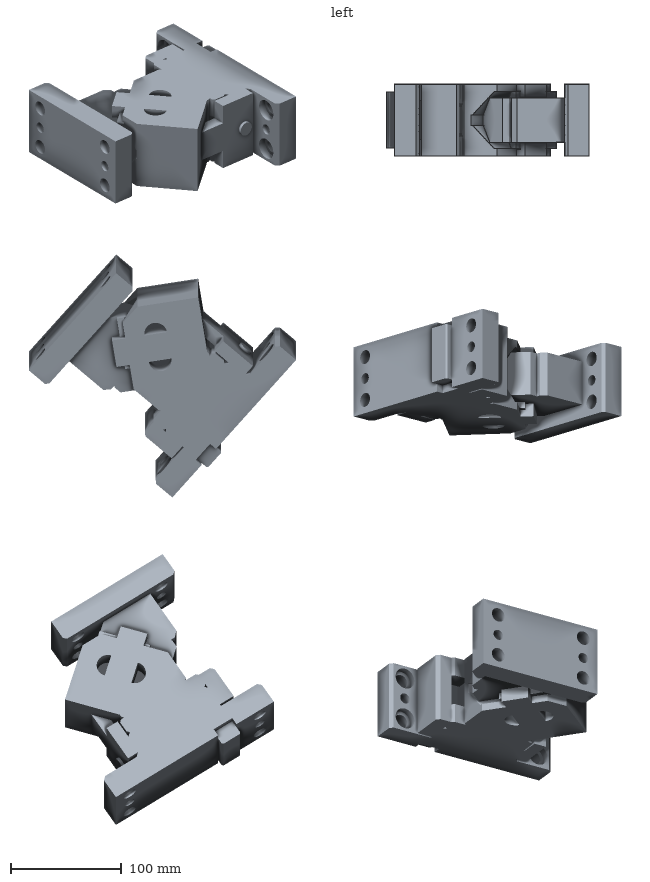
import cadquery as cq
import math


width = 65.0
half_width = width / 2
holder_length = 170.0
total_height = 182.5
bolt_offset_z = 20.0
dowel_diameter = 9.9

ramp_angle = math.radians(50)
ramp_x = 64.5
ramp_y = 62.0
along_x, along_y = math.cos(ramp_angle), -math.sin(ramp_angle)
out_x, out_y = math.sin(ramp_angle), math.cos(ramp_angle)

wing_half = 25.7
post_half = 20.0
ridge_half = 4.7
wing_height = 6.5
ridge_height = 19.2
flank_slope = (wing_half - ridge_half) / (ridge_height - wing_height)
relief_height = 20.0

base_start_x = 4.7
base_length = 120.0
base_thickness = 21.9
base_chamfer = 2.7
base_bolt_diameter = 13.3
base_hole_x = 20.5
base_hole_spacing = 89.6
post_left_x = 32.5
post_chamfer = 5.0
shelf_y = 69.7
step_x = 40.9
undercut_width = 1.0
undercut_height = 1.5
head_start = -27.4
wing_start = -5.0
head_end = 42.7

slide_left_x = 53.5
slide_right_x = 123.0
slide_top_y = 114.5
slide_bottom_y = 34.9
slide_chamfer = 1.8
slide_face = 5.0
slide_back = 75.7
slide_end = 52.5
groove_start = -73.0
keeper_length = 25.0
keeper_depth = 7.1
keeper_gap = 0.5
pocket_out = 32.7
pocket_radius = 10.2
pocket_depth = 18.2
tongue_half = 12.6
tongue_inset = 4.2

key_length = 19.9
key_start_x = 40.2
key_half = 25.4
key_height = 14.2
key_chamfer = 1.3
keyway_depth = key_height / 2
plate_back_y = total_height - key_height + keyway_depth
plate_front_y = 152.8
plate_chamfer = 3.1
clamp_left_x = 27.2
clamp_back_y = 151.0
clamp_front_y = 116.5
clamp_chamfer = 3.1
block_left_x = 42.2
block_right_x = 126.8
block_chamfer = slide_top_y - clamp_front_y
stop_left_x = 128.3
stop_right_x = 140.2
stop_back_y = 149.6
stop_relief_x = 129.4
stop_relief_end_x = 133.0
corner_relief_y = 129.2
corner_relief = 2.2
slot_end_y = 132.0
recess_half = 17.7
recess_height = 1.5
recess_depth = 1.8
slot_half = 14.5
plate_bolt_diameter = 13.0
counterbore_diameter = 19.7
counterbore_depth = 7.1
plate_hole_x = 15.0
screw_y = 139.6
screw_diameter = 13.1
screw_height = 2.7


def ramp(along, out):
    """XY point at a place given in the ramp frame."""
    return (
        ramp_x + along * along_x + out * out_x,
        ramp_y + along * along_y + out * out_y,
    )


def ramp_at_x(out, x):
    """XY point at a given X on a line parallel to the ramp."""
    start_x, _ = ramp(0, out)
    return ramp((x - start_x) / along_x, out)


def ramp_at_y(out, y):
    """XY point at a given Y on a line parallel to the ramp."""
    _, start_y = ramp(0, out)
    return ramp((y - start_y) / along_y, out)


def end_at_x(along, x):
    """XY point at a given X on a line square to the ramp."""
    start_x, _ = ramp(along, 0)
    return ramp(along, (x - start_x) / out_x)


def end_at_y(along, y):
    """XY point at a given Y on a line square to the ramp."""
    _, start_y = ramp(along, 0)
    return ramp(along, (y - start_y) / out_y)


def slab(points, half):
    """Outline in XY, extruded to both sides of the middle."""
    return cq.Workplane("XY").polyline(points).close().extrude(half, both=True)


def box(x0, x1, y0, y1, half):
    """Rectangular block, centred in Z."""
    return slab([(x0, y0), (x1, y0), (x1, y1), (x0, y1)], half)


def ramp_prism(half_profile, start, end):
    """Symmetric (out, z) profile, swept along the ramp from start to end."""
    plane = cq.Plane(
        origin=(*ramp(start, 0), 0),
        xDir=(out_x, out_y, 0),
        normal=(along_x, along_y, 0),
    )
    mirrored = [(out, -z) for out, z in reversed(half_profile)]
    return cq.Workplane(plane).polyline(half_profile + mirrored).close().extrude(end - start)


def holes_along_y(places, diameter, start_y, depth):
    """Round cutters at (x, z) places, running from start_y toward +Y."""
    plane = cq.Plane(origin=(0, start_y, 0), xDir=(1, 0, 0), normal=(0, 1, 0))
    local_places = [(x, -z) for x, z in places]
    return cq.Workplane(plane).pushPoints(local_places).circle(diameter / 2).extrude(depth)


def hole_places(first_x, last_x):
    """Bolt places and dowel places, for a row of three holes at each end of a plate."""
    bolts = [(x, z) for x in (first_x, last_x) for z in (-bolt_offset_z, bolt_offset_z)]
    dowels = [(first_x, 0), (last_x, 0)]
    return bolts, dowels


def make_base_plate():
    end_x = base_start_x + base_length
    plate = slab(
        [
            (base_start_x, 0),
            (end_x, 0),
            (end_x, base_thickness - base_chamfer),
            (end_x - base_chamfer, base_thickness),
            (base_start_x + base_chamfer, base_thickness),
            (base_start_x, base_thickness - base_chamfer),
        ],
        half_width,
    )
    bolts, dowels = hole_places(base_hole_x, base_hole_x + base_hole_spacing)
    plate = plate.cut(holes_along_y(bolts, base_bolt_diameter, 0, base_thickness))
    return plate.cut(holes_along_y(dowels, dowel_diameter, 0, base_thickness))


def make_post():
    return slab(
        [
            (post_left_x, base_thickness),
            (post_left_x, shelf_y - post_chamfer),
            (post_left_x + post_chamfer, shelf_y),
            (step_x + undercut_width, shelf_y),
            (step_x, shelf_y + undercut_height),
            end_at_x(head_start, step_x),
            ramp(head_start, 0),
            ramp(head_end, 0),
            end_at_y(head_end, base_thickness),
        ],
        post_half,
    )


def head_profile(half):
    """V head cut off at a given half width."""
    flank_start = wing_height + (wing_half - half) / flank_slope
    return [(0, half), (flank_start, half), (ridge_height, ridge_half)]


def make_driver():
    upper_head = ramp_prism(head_profile(post_half), head_start, head_end)
    winged_head = ramp_prism(head_profile(wing_half), wing_start, head_end)
    return make_base_plate().union(make_post()).union(upper_head).union(winged_head)


def make_slide_block():
    return slab(
        [
            ramp_at_x(slide_face, slide_left_x),
            (slide_left_x, slide_top_y - slide_chamfer),
            (slide_left_x + slide_chamfer, slide_top_y),
            (slide_right_x - slide_chamfer, slide_top_y),
            (slide_right_x, slide_top_y - slide_chamfer),
            ramp_at_x(slide_back, slide_right_x),
            ramp(slide_end, slide_back),
            end_at_y(slide_end, slide_bottom_y),
            ramp_at_y(slide_face, slide_bottom_y),
        ],
        half_width,
    )


def make_keepers():
    """Two hooks, one on each side, reaching under the wings of the driver."""
    bar = ramp_prism([(-keeper_depth, half_width), (slide_face, half_width)], 0, keeper_length)
    wing_room = ramp_prism(
        [(0, wing_half + keeper_gap), (slide_face, wing_half + keeper_gap)], 0, keeper_length
    )
    post_room = ramp_prism(
        [(-keeper_depth, post_half + keeper_gap), (0, post_half + keeper_gap)], 0, keeper_length
    )
    return bar.cut(wing_room).cut(post_room)


def make_groove():
    """V groove that takes the driver head, running through the slide."""
    profile = [
        (0, wing_half),
        (wing_height, wing_half),
        (ridge_height, ridge_half),
        (relief_height, ridge_half),
    ]
    return ramp_prism(profile, groove_start, slide_end)


def make_half_round_pocket(along, direction, side):
    """Half-round pocket in one side face, with its flat square to the ramp."""
    return (
        cq.Workplane("XY", origin=(0, 0, side * half_width))
        .moveTo(*ramp(along, pocket_out - pocket_radius))
        .threePointArc(
            ramp(along + direction * pocket_radius, pocket_out),
            ramp(along, pocket_out + pocket_radius),
        )
        .close()
        .extrude(-side * pocket_depth)
    )


def make_slide():
    tongue = box(
        slide_left_x + tongue_inset,
        slide_right_x - tongue_inset,
        slide_top_y,
        slot_end_y,
        tongue_half,
    )
    body = make_slide_block().cut(make_groove()).union(make_keepers()).union(tongue)
    for side in (-1, 1):
        body = body.cut(make_half_round_pocket(0, -1, side))
        body = body.cut(make_half_round_pocket(keeper_length, 1, side))
    return body


def make_holder_block():
    return slab(
        [
            (0, plate_back_y),
            (0, plate_front_y + plate_chamfer),
            (plate_chamfer, plate_front_y),
            (block_left_x, plate_front_y),
            (block_left_x, clamp_back_y),
            (clamp_left_x, clamp_back_y),
            (clamp_left_x, clamp_front_y + clamp_chamfer),
            (clamp_left_x + clamp_chamfer, clamp_front_y),
            (block_left_x, clamp_front_y),
            (block_left_x - block_chamfer, slide_top_y),
            (block_right_x + block_chamfer, slide_top_y),
            (block_right_x, clamp_front_y),
            (block_right_x, corner_relief_y - corner_relief),
            (block_right_x - corner_relief, corner_relief_y),
            (stop_left_x, slot_end_y),
            (stop_left_x, slide_top_y),
            (stop_right_x, slide_top_y),
            (stop_right_x, stop_back_y),
            (stop_relief_x, stop_back_y),
            (stop_relief_end_x, plate_front_y),
            (holder_length - plate_chamfer, plate_front_y),
            (holder_length, plate_front_y + plate_chamfer),
            (holder_length, plate_back_y),
        ],
        half_width,
    )


def make_stop_tab():
    """Narrow end of the stop, resting on the far side of the slide."""
    return slab(
        [
            (stop_left_x, slide_top_y),
            (stop_right_x, slide_top_y),
            ramp_at_x(slide_back, stop_right_x),
            ramp_at_x(slide_back, stop_left_x),
        ],
        slot_half,
    )


def make_left_relief():
    """Three-cornered relief hole between the clamp and the block."""
    return slab(
        [
            (block_left_x, corner_relief_y + corner_relief),
            (block_left_x + corner_relief, corner_relief_y),
            (block_left_x, corner_relief_y - corner_relief),
        ],
        half_width,
    )


def make_key():
    end_x = key_start_x + key_length
    bottom_y = plate_back_y - keyway_depth
    key = box(key_start_x, end_x, bottom_y, total_height, key_half)
    return key.faces(">Y").edges("|Z").chamfer(key_chamfer)


def make_screw_head():
    return (
        cq.Workplane("YZ", origin=(stop_right_x, screw_y, 0))
        .circle(screw_diameter / 2)
        .extrude(screw_height)
    )


def make_holder():
    key_end_x = key_start_x + key_length
    keyway = box(key_start_x, key_end_x, plate_back_y - keyway_depth, plate_back_y, half_width)
    tongue_slot = box(block_left_x, block_right_x, slide_top_y, slot_end_y, slot_half)
    bolts, dowels = hole_places(plate_hole_x, holder_length - plate_hole_x)
    recess = box(
        block_left_x,
        block_left_x + recess_depth,
        clamp_back_y,
        clamp_back_y + recess_height,
        recess_half,
    )
    plate_thickness = plate_back_y - plate_front_y

    body = make_holder_block().cut(keyway).cut(tongue_slot).cut(make_left_relief()).cut(recess)
    body = body.cut(holes_along_y(bolts, plate_bolt_diameter, plate_front_y, plate_thickness))
    body = body.cut(holes_along_y(bolts, counterbore_diameter, plate_front_y, counterbore_depth))
    body = body.cut(holes_along_y(dowels, dowel_diameter, plate_front_y, plate_thickness))
    return body.union(make_key()).union(make_stop_tab()).union(make_screw_head())


driver = make_driver()
slide = make_slide()
holder = make_holder()

result = cq.Compound.makeCompound([driver.val(), slide.val(), holder.val()])